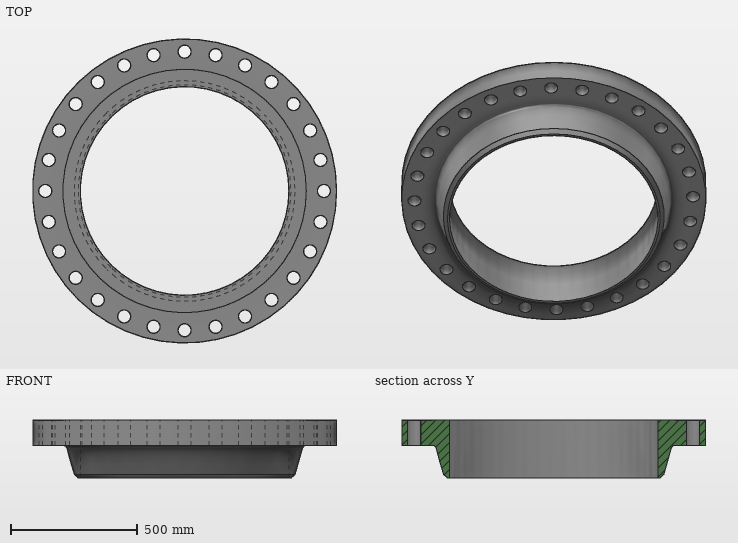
import cadquery as cq

flange_diameter = 1206.0
total_height = 232.0
bore_diameter = 826.0

flange_thickness = 103.0
raised_face_diameter = 965.0
raised_face_height = 1.0

bolt_count = 28
bolt_circle_diameter = 1105.0
bolt_hole_diameter = 51.0

hub_top_diameter = 941.0
hub_bottom_diameter = 876.0
bevel_height = 15.0
bevel_tip_diameter = 843.0
hub_fillet_radius = 15.0

flange_bottom = total_height - flange_thickness
rim_top = total_height - raised_face_height


def flange_body():
    """Revolve the half section of the flange, hub and bore about Z."""
    bore_radius = bore_diameter / 2
    section = (
        cq.Workplane("XZ")
        .moveTo(bore_radius, 0)
        .lineTo(bevel_tip_diameter / 2, 0)
        .lineTo(hub_bottom_diameter / 2, bevel_height)
        .lineTo(hub_top_diameter / 2, flange_bottom)
        .lineTo(flange_diameter / 2, flange_bottom)
        .lineTo(flange_diameter / 2, rim_top)
        .lineTo(raised_face_diameter / 2, rim_top)
        .lineTo(raised_face_diameter / 2, total_height)
        .lineTo(bore_radius, total_height)
        .close()
    )
    body = section.revolve(360, (0, 0, 0), (0, 1, 0))

    clearance = hub_fillet_radius / 2
    reach = hub_top_diameter / 2 + clearance
    around_corner = cq.selectors.BoxSelector(
        (-reach, -reach, flange_bottom - clearance),
        (reach, reach, flange_bottom + clearance),
        boundingbox=True,
    )
    return body.edges(around_corner).fillet(hub_fillet_radius)


def bolt_holes():
    """Through holes evenly spaced on the bolt circle, one on the X axis."""
    return (
        cq.Workplane("XY")
        .polarArray(bolt_circle_diameter / 2, 0, 360, bolt_count)
        .circle(bolt_hole_diameter / 2)
        .extrude(total_height)
    )


result = flange_body().cut(bolt_holes())